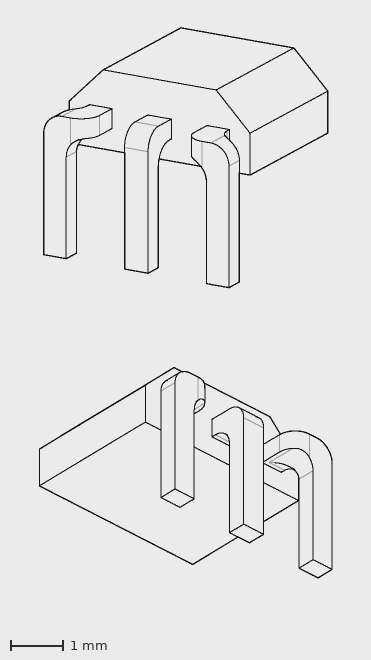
import cadquery as cq

body_width = 4.0
body_depth = 3.0
body_height = 1.6
body_bevel = 0.75

overall_width = 4.1
overall_height = 3.61
lead_reach = 0.898
lead_thickness = 0.4
outer_lead_width = 0.5
middle_lead_width = 0.52
bend_radius = 0.4

lead_top = body_height - body_bevel
lead_length = overall_height - body_bevel
lead_foot = lead_top - lead_length


def make_body():
    """Block with its two long upper edges bevelled at 45 degrees."""
    half_width = body_width / 2
    shoulder = body_height - body_bevel
    return (
        cq.Workplane("XZ")
        .moveTo(-half_width, 0)
        .lineTo(half_width, 0)
        .lineTo(half_width, shoulder)
        .lineTo(half_width - body_bevel, body_height)
        .lineTo(-half_width + body_bevel, body_height)
        .lineTo(-half_width, shoulder)
        .close()
        .extrude(-body_depth)
    )


def draw_bend(plane, corner, u_run, u_width, v_run, v_width):
    """Outline of an L-shaped strip with a rounded outer and inner corner.

    The first arm runs u_run from the corner and is v_width thick; the second
    runs v_run and is u_width thick. The signs of the runs set the directions.
    """
    u_sign = 1 if u_run > 0 else -1
    v_sign = 1 if v_run > 0 else -1

    def point(along_u, along_v):
        return (corner[0] + u_sign * along_u, corner[1] + v_sign * along_v)

    radius = bend_radius * u_sign * v_sign
    return (
        cq.Workplane(plane)
        .moveTo(*point(abs(u_run), 0))
        .lineTo(*point(bend_radius, 0))
        .radiusArc(point(0, bend_radius), radius)
        .lineTo(*point(0, abs(v_run)))
        .lineTo(*point(u_width, abs(v_run)))
        .lineTo(*point(u_width, v_width + bend_radius))
        .radiusArc(point(u_width + bend_radius, v_width), -radius)
        .lineTo(*point(abs(u_run), v_width))
        .close()
    )


def make_middle_lead():
    """Straight lead, bent down once."""
    return draw_bend(
        "YZ", (-lead_reach, lead_top), lead_reach, lead_thickness, -lead_length, lead_thickness
    ).extrude(middle_lead_width / 2, both=True)


def make_space_under_neck():
    """Space behind the vertical shanks, rounded where a shank meets its neck."""
    space_depth = lead_reach - lead_thickness
    space_height = lead_length - lead_thickness
    return (
        cq.Workplane("XY", origin=(0, -space_depth, lead_foot))
        .box(overall_width, space_depth, space_height, centered=(True, False, False))
        .edges("|X and >Z and <Y")
        .fillet(bend_radius)
    )


def make_left_lead():
    """Lead that turns sideways and bends down, two lead widths across."""
    outer_side = -overall_width / 2
    sideways_run = 2 * outer_lead_width
    inner_side = outer_side + sideways_run
    bend_down = draw_bend(
        "XZ", (outer_side, lead_top), sideways_run, outer_lead_width, -lead_length, lead_thickness
    ).extrude(lead_reach)
    turn_sideways = (
        draw_bend(
            "XY", (inner_side, -lead_reach), -sideways_run, outer_lead_width, lead_reach, lead_thickness
        )
        .extrude(lead_length)
        .translate((0, 0, lead_foot))
    )
    return bend_down.intersect(turn_sideways).cut(make_space_under_neck())


left_lead = make_left_lead()
right_lead = left_lead.mirror("YZ")
result = make_body().union(make_middle_lead()).union(left_lead).union(right_lead)